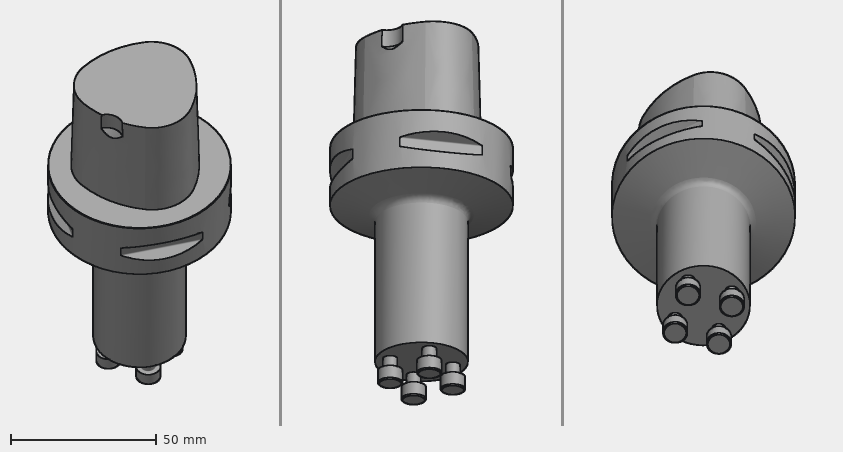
import cadquery as cq
import math

total_length = 128.6

taper_length = 38.0
lobe_reach = 23.5
flank_reach = 20.6
lobe_radius = 15.0
taper_slope = 1 / 40

notch_radius = 5.7
notch_inset = 17.6
notch_depth = 6.3
notch_tip_angle = 90.0

flange_diameter = 63.0
flange_height = 21.9
flange_chamfer = 0.19
cone_angle = 15.0
shank_diameter = 32.0
neck_fillet = 2.7

groove_count = 4
first_groove_angle = 45.0
groove_floor_reach = 27.9
groove_floor_width = 3.5
groove_side_angle = 30.0
groove_center_z = -11.8
groove_corner_radius = 0.5

screw_offset = 7.8
screw_shank_diameter = 5.0
screw_head_diameter = 8.5
screw_gap = 4.5
screw_head_height = 5.0
screw_head_chamfer = 0.45
screw_neck_fillet = 0.19

selection_margin = 0.1

flange_radius = flange_diameter / 2
shank_radius = shank_diameter / 2
part_bottom_z = taper_length - total_length
shank_bottom_z = part_bottom_z + screw_head_height + screw_gap


def polar(radius, degrees):
    angle = math.radians(degrees)
    return (radius * math.cos(angle), radius * math.sin(angle))


def ring_edge_box(radius, z):
    """Selector for a circular edge around the Z axis at one height, leaving out wider ones."""
    half = radius + selection_margin
    return cq.selectors.BoxSelector(
        (-half, -half, z - selection_margin), (half, half, z + selection_margin), boundingbox=True
    )


def taper_outline():
    """Closed outline of alternating lobe and flank arcs, one lobe toward +Y."""
    lobe_center = lobe_reach - lobe_radius
    reach_gap = flank_reach - lobe_radius
    flank_center = (lobe_center**2 - reach_gap**2) / (2 * reach_gap - lobe_center)
    flank_radius = flank_reach + flank_center
    half_angle = math.asin(lobe_center * math.sin(math.radians(60)) / (flank_radius - lobe_radius))
    joint_x = flank_radius * math.sin(half_angle)
    joint_y = flank_center - flank_radius * math.cos(half_angle)
    joint_radius = math.hypot(joint_x, joint_y)
    joint_offset = math.degrees(math.atan2(joint_x, -joint_y))

    outline = cq.Workplane("XY").moveTo(*polar(joint_radius, 270 - joint_offset))
    for flank in (270, 390, 510):
        outline = outline.threePointArc(
            polar(flank_reach, flank), polar(joint_radius, flank + joint_offset)
        )
        outline = outline.threePointArc(
            polar(lobe_reach, flank + 60), polar(joint_radius, flank + 120 - joint_offset)
        )
    return outline.close()


def make_notch_cutter():
    """Drill shape with a conical tip, standing outside the -Y flank."""
    tip_height = notch_radius / math.tan(math.radians(notch_tip_angle / 2))
    wall_bottom_z = taper_length - notch_depth
    drill = (
        cq.Workplane("XZ")
        .moveTo(0, wall_bottom_z - tip_height)
        .lineTo(notch_radius, wall_bottom_z)
        .lineTo(notch_radius, taper_length)
        .lineTo(0, taper_length)
        .close()
        .revolve(360, (0, 0, 0), (0, 1, 0))
    )
    return drill.translate((0, -notch_inset - notch_radius, 0))


def make_taper():
    draft = math.degrees(math.atan(taper_slope))
    return taper_outline().extrude(taper_length, taper=draft).cut(make_notch_cutter())


def make_body():
    """Flange, cone under it and shank as one turned shape."""
    cone_drop = (flange_radius - shank_radius) * math.tan(math.radians(cone_angle))
    neck_z = -flange_height - cone_drop
    body = (
        cq.Workplane("XZ")
        .moveTo(0, 0)
        .lineTo(flange_radius - flange_chamfer, 0)
        .lineTo(flange_radius, -flange_chamfer)
        .lineTo(flange_radius, -flange_height)
        .lineTo(shank_radius, neck_z)
        .lineTo(shank_radius, shank_bottom_z)
        .lineTo(0, shank_bottom_z)
        .close()
        .revolve(360, (0, 0, 0), (0, 1, 0))
    )
    neck = ring_edge_box(shank_radius, neck_z)
    return body.edges(neck).fillet(neck_fillet)


def make_groove_cutter():
    """Straight bar with flared sides, lying across the +X side of the rim."""
    depth = flange_radius - groove_floor_reach
    floor_half = groove_floor_width / 2
    mouth_half = floor_half + depth * math.tan(math.radians(groove_side_angle))
    return (
        cq.Workplane("XZ")
        .moveTo(groove_floor_reach, groove_center_z - floor_half)
        .lineTo(flange_radius, groove_center_z - mouth_half)
        .lineTo(flange_radius, groove_center_z + mouth_half)
        .lineTo(groove_floor_reach, groove_center_z + floor_half)
        .close()
        .extrude(flange_radius, both=True)
        .faces("<X")
        .edges("|Y")
        .fillet(groove_corner_radius)
    )


def make_screw():
    """Cap screw on the Z axis, reaching from the shank end to the bottom of the part."""
    head = (
        cq.Workplane("XY", origin=(0, 0, part_bottom_z))
        .circle(screw_head_diameter / 2)
        .extrude(screw_head_height)
        .faces("<Z")
        .chamfer(screw_head_chamfer)
    )
    shank = (
        cq.Workplane("XY", origin=(0, 0, part_bottom_z))
        .circle(screw_shank_diameter / 2)
        .extrude(screw_head_height + screw_gap)
    )
    head_top_z = part_bottom_z + screw_head_height
    neck = ring_edge_box(screw_shank_diameter / 2, head_top_z)
    return head.union(shank).edges(neck).fillet(screw_neck_fillet)


taper = make_taper()
result = make_body().union(taper)

groove_cutter = make_groove_cutter()
for index in range(groove_count):
    angle = first_groove_angle + index * 360 / groove_count
    result = result.cut(groove_cutter.rotate((0, 0, 0), (0, 0, 1), angle))

screw = make_screw()
for side_x in (-1, 1):
    for side_y in (-1, 1):
        result = result.union(screw.translate((side_x * screw_offset, side_y * screw_offset, 0)))